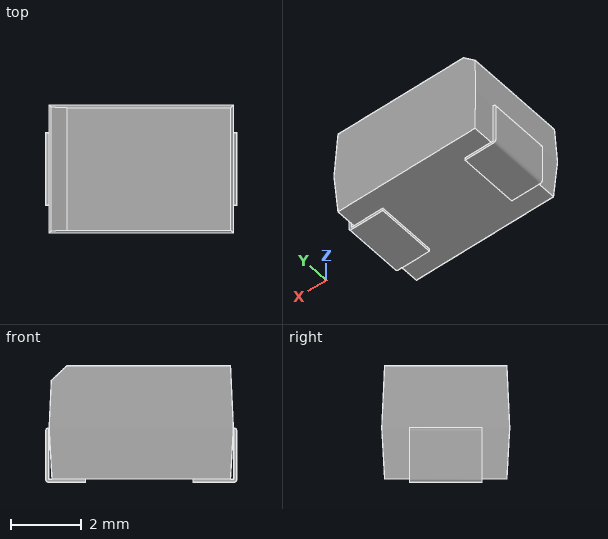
import cadquery as cq
import math

overall_length = 5.4
overall_width = 3.62
overall_height = 3.3

strip_thickness = 0.095
terminal_width = 2.05
corner_radius = strip_thickness
left_foot_length = 1.13
right_foot_length = 1.24

parting_height = 1.545
taper_inset = 0.08
housing_length = overall_length - 2 * strip_thickness
housing_width = overall_width
housing_bottom = strip_thickness

bevel_run = 0.51
bevel_drop = 0.425
bevel_start_inset = 0.06


def tapered_half(end_height):
    """Half of the housing, narrowing from the parting plane to end_height."""
    return (
        cq.Workplane("XY", origin=(0, 0, parting_height))
        .rect(housing_length, housing_width)
        .workplane(offset=end_height - parting_height)
        .rect(housing_length - 2 * taper_inset, housing_width - 2 * taper_inset)
        .loft(ruled=True, combine=True)
    )


def bevel_cutter():
    """Prism outside the sloping bevel plane, reaching past the housing end."""
    end_x = -housing_length / 2
    low_point = (end_x + bevel_start_inset, overall_height - bevel_drop)
    high_point = (end_x + bevel_run, overall_height)
    outer_point = (2 * low_point[0] - high_point[0], 2 * low_point[1] - high_point[1])
    return (
        cq.Workplane("XZ")
        .polyline([outer_point, high_point, (outer_point[0], overall_height)])
        .close()
        .extrude(housing_width / 2, both=True)
    )


def make_housing():
    halves = tapered_half(overall_height).union(tapered_half(housing_bottom))
    return halves.cut(bevel_cutter())


def make_terminal(side, foot_length):
    """L-shaped strip at the -X end (side = -1) or +X end (side = 1)."""
    outer_x = side * overall_length / 2
    inner_x = side * housing_length / 2
    foot_end_x = outer_x - side * foot_length
    round_start_x = outer_x - side * corner_radius
    diagonal = corner_radius * math.sqrt(0.5)
    arc_middle_x = round_start_x + side * diagonal
    bend_centre_z = corner_radius
    tip_centre_z = parting_height - corner_radius
    return (
        cq.Workplane("XZ")
        .moveTo(foot_end_x, 0)
        .lineTo(round_start_x, 0)
        .threePointArc((arc_middle_x, bend_centre_z - diagonal), (outer_x, bend_centre_z))
        .lineTo(outer_x, tip_centre_z)
        .threePointArc((arc_middle_x, tip_centre_z + diagonal), (round_start_x, parting_height))
        .lineTo(inner_x, strip_thickness)
        .lineTo(foot_end_x, strip_thickness)
        .close()
        .extrude(terminal_width / 2, both=True)
    )


housing = make_housing()
terminals = [
    make_terminal(side, foot_length)
    for side, foot_length in ((-1, left_foot_length), (1, right_foot_length))
]

result = cq.Compound.makeCompound([housing.val(), *[terminal.val() for terminal in terminals]])